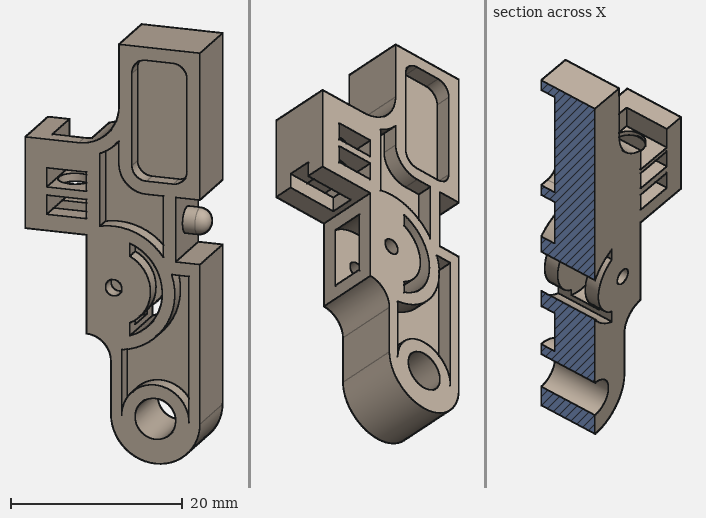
import cadquery as cq
import math


thickness = 8.0
total_width = 21.55
total_height = 50.9
wall = 1.6
pocket_depth = 2.0
mid_y = thickness / 2

eye_radius = 5.5
eye_bore_diameter = 5.0
eye_boss_radius = 4.15
eye_x = total_width - eye_radius
eye_z = eye_radius

head_width = 10.0
head_height = 18.0
head_left = total_width - head_width
head_bottom = total_height - head_height
head_pocket_radius = 1.75

arm_length = 7.55
arm_bottom = 27.1
arm_top = 38.3
arm_fillet_radius = 5.0
shoulder_radius = 3.0
shoulder_z = 12.0
neck_inset = 3.0
body_top = 25.0
neck_right = total_width - neck_inset
shank_left = total_width - 2 * eye_radius
fillet_x = head_left - arm_fillet_radius
fillet_z = arm_top + arm_fillet_radius

pivot_x = 10.9
pivot_z = 21.0
pivot_diameter = 2.0
hub_radius = 7.55
slot_inner_radius = 4.55
slot_outer_radius = 6.0
slot_start_offset = 2.0
cavity_radius = 5.25
cavity_width = 4.1

neck_pocket_left = 9.2
neck_wall = 1.5

notch_left = 2.65
notch_depth = 2.9
notch_front_y = 2.0
window_height = 2.35
window_floors = (29.1, 32.45)
arm_bore_diameter = 4.0
arm_bore_x = 4.75
groove_width = 3.0
groove_height = 2.0

pin_radius = 1.6
pin_nose_radius = 1.5
pin_z = (body_top + head_bottom) / 2


def block(x_min, x_max, y_min, y_max, z_min, z_max):
    """Axis-aligned box between the given limits."""
    size = (x_max - x_min, y_max - y_min, z_max - z_min)
    return cq.Workplane("XY").box(*size, centered=False).translate((x_min, y_min, z_min))


def disc(x, z, radius, y_min=0.0, y_max=thickness):
    """Cylinder along Y."""
    sketch = cq.Workplane("XZ", origin=(x, y_min, z)).circle(radius)
    return sketch.extrude(y_min - y_max)


def make_body():
    diagonal = math.sqrt(0.5)
    return (
        cq.Workplane("XZ")
        .moveTo(shank_left, eye_z)
        .threePointArc((eye_x, 0), (total_width, eye_z))
        .lineTo(total_width, body_top)
        .lineTo(neck_right, body_top)
        .lineTo(neck_right, head_bottom)
        .lineTo(total_width, head_bottom)
        .lineTo(total_width, total_height)
        .lineTo(head_left, total_height)
        .lineTo(head_left, fillet_z)
        .threePointArc(
            (fillet_x + arm_fillet_radius * diagonal, fillet_z - arm_fillet_radius * diagonal),
            (fillet_x, arm_top),
        )
        .lineTo(0, arm_top)
        .lineTo(0, arm_bottom)
        .lineTo(arm_length, arm_bottom)
        .lineTo(arm_length, shoulder_z + shoulder_radius)
        .threePointArc(
            (arm_length + shoulder_radius * diagonal, shoulder_z + shoulder_radius * diagonal),
            (shank_left, shoulder_z),
        )
        .close()
        .extrude(-thickness)
    )


def make_pin():
    """Pin along +X from the neck, its end rounded to a small flat tip."""
    diagonal = math.sqrt(0.5)
    nose_x = total_width - pin_nose_radius
    tip_radius = pin_radius - pin_nose_radius
    half_profile = (
        cq.Workplane("XY", origin=(0, mid_y, pin_z))
        .moveTo(neck_right, 0)
        .lineTo(neck_right, pin_radius)
        .lineTo(nose_x, pin_radius)
        .threePointArc(
            (nose_x + pin_nose_radius * diagonal, tip_radius + pin_nose_radius * diagonal),
            (total_width, tip_radius),
        )
        .lineTo(total_width, 0)
        .close()
    )
    return half_profile.revolve(360, (0, 0, 0), (1, 0, 0))


def make_head_pocket():
    pocket = block(
        head_left + wall, total_width - wall,
        0, pocket_depth,
        head_bottom + wall, total_height - wall,
    )
    return pocket.edges("|Y").fillet(head_pocket_radius)


def make_neck_pocket():
    """Pocket bounded by the arm fillet, the head pocket's wall and the pivot hub."""
    pocket = block(
        neck_pocket_left, neck_right - neck_wall,
        0, pocket_depth,
        pivot_z, fillet_z,
    )
    head = block(
        head_left, total_width,
        0, pocket_depth,
        head_bottom, total_height,
    ).edges("|Y").fillet(head_pocket_radius + wall)
    above_fillet = disc(fillet_x, fillet_z, arm_fillet_radius + wall)
    hub = disc(pivot_x, pivot_z, hub_radius)
    return pocket.cut(head).cut(above_fillet).cut(hub)


def make_shank_pocket():
    """Pocket between the pivot hub and the boss of the lower eye."""
    pocket = block(
        eye_x - eye_boss_radius, eye_x + eye_boss_radius,
        0, pocket_depth,
        eye_z, body_top - wall,
    )
    hub = disc(pivot_x, pivot_z, hub_radius)
    boss = disc(eye_x, eye_z, eye_boss_radius)
    return pocket.cut(hub).cut(boss)


def make_travel_slot():
    """Arc slot around the pivot, cut off straight on its left side."""
    ring = disc(pivot_x, pivot_z, slot_outer_radius).cut(disc(pivot_x, pivot_z, slot_inner_radius))
    right_side = block(
        pivot_x + slot_start_offset, pivot_x + slot_outer_radius,
        0, thickness,
        pivot_z - slot_outer_radius, pivot_z + slot_outer_radius,
    )
    return ring.intersect(right_side)


def make_pivot_cavity():
    """Round cavity inside the hub, open through the left side of the body."""
    y_min = mid_y - cavity_width / 2
    return disc(pivot_x, pivot_z, cavity_radius, y_min, y_min + cavity_width)


def cut_arm(part):
    """Cut the rear notch, windows, vertical bore and underside groove of the arm."""
    notch_floor = arm_top - notch_depth
    part = part.cut(block(notch_left, arm_length, notch_front_y, thickness, notch_floor, fillet_z))
    for floor in window_floors:
        part = part.cut(block(notch_left, arm_length, 0, thickness, floor, floor + window_height))
    groove_top = arm_bottom + groove_height
    bore = (
        cq.Workplane("XY", origin=(arm_bore_x, mid_y, groove_top))
        .circle(arm_bore_diameter / 2)
        .extrude(notch_floor - groove_top)
    )
    groove = block(
        0, arm_bore_x + arm_bore_diameter / 2,
        mid_y - groove_width / 2, mid_y + groove_width / 2,
        arm_bottom, groove_top,
    )
    return part.cut(bore).cut(groove)


result = make_body().union(make_pin())
result = result.cut(make_head_pocket())
result = result.cut(make_neck_pocket())
result = result.cut(make_shank_pocket())
result = result.cut(make_travel_slot())
result = result.cut(make_pivot_cavity())
result = result.cut(disc(pivot_x, pivot_z, pivot_diameter / 2))
result = result.cut(disc(eye_x, eye_z, eye_bore_diameter / 2))
result = cut_arm(result)